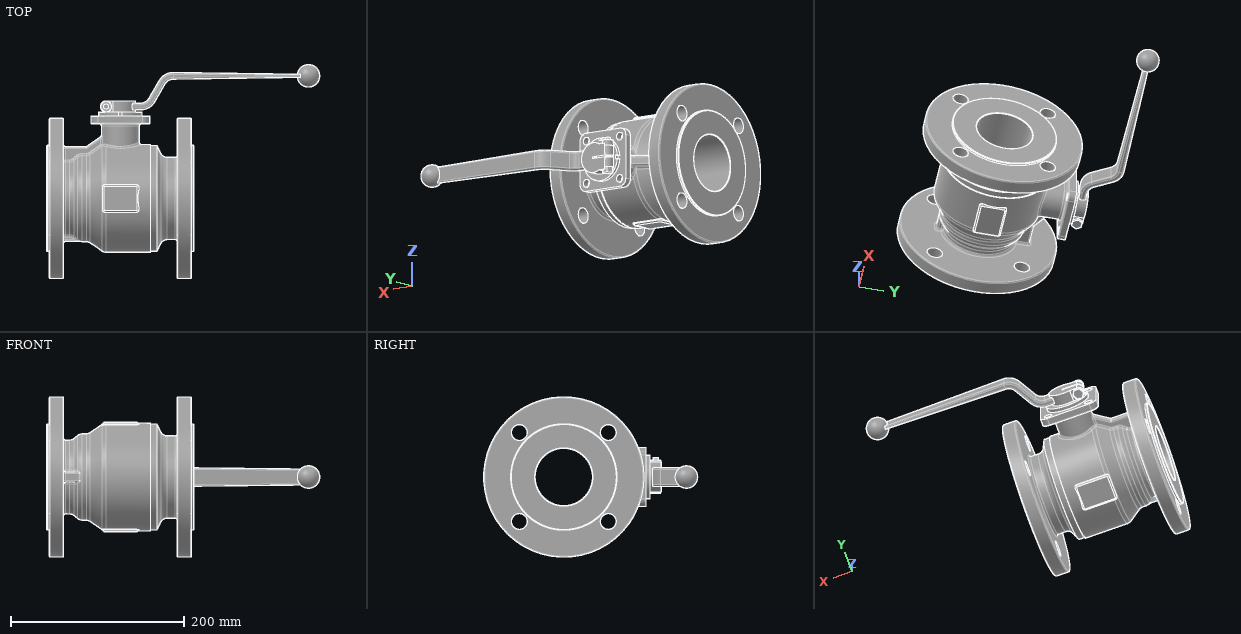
import cadquery as cq
import math


FACE_TO_FACE = 170.0
HALF_LENGTH = FACE_TO_FACE / 2
FLANGE_RADIUS = 92.5
FLANGE_THICKNESS = 16.5
FLANGE_EDGE_FILLET = 1.2
RAISED_FACE_RADIUS = 61.4
RAISED_FACE_HEIGHT = 3.0
RAISED_FACE_CHAMFER = 0.8
BOLT_CIRCLE_RADIUS = 72.5
BOLT_HOLE_DIAMETER = 18.0
BOLT_HOLE_COUNT = 4
FIRST_BOLT_ANGLE = 45
BORE_RADIUS = 33.0
BORE_CHAMFER = 0.6
FLANGE_OUTER_X = HALF_LENGTH - RAISED_FACE_HEIGHT
FLANGE_INNER_X = FLANGE_OUTER_X - FLANGE_THICKNESS

INLET_RADIUS = 42.7
COLLAR_RADIUS = 50.0
BODY_RADIUS = 62.3
END_CAP_RADIUS = 61.2
OUTLET_RADIUS = 47.6
INLET_END_X = -55.5
COLLAR_START_X = -47.0
COLLAR_END_X = -36.8
BODY_START_X = -19.0
BODY_END_X = 34.7
END_CAP_END_X = 42.2
OUTLET_START_X = 48.8
BODY_BLEND = 8.0
FLANGE_ROOT_FILLET = 2.5

RIB_WIDTH = 12.0
RIB_TOP_Y = 59.7
RIB_BEND_X = -39.5
RIB_RISE_ANGLE = 34.5
RIB_FILLET = 2.0
LOWER_RIB_END_X = -41.0
LOWER_RIB_DEPTH = 49.4
RIB_FOOT_FILLET = 2.5

PAD_START_X = -20.6
PAD_LENGTH = 42.0
PAD_WIDTH = 32.0
PAD_HEIGHT_Z = 63.3
PAD_DEPTH = 13.0
PAD_CORNER_RADIUS = 3.0
PAD_EDGE_CHAMFER = 2.0

NECK_RADIUS = 22.0
NECK_BASE_Y = 40.0
NECK_BASE_FILLET = 2.5
NECK_TOP_FILLET = 2.5
PLATE_BOTTOM_Y = 86.0
PLATE_TOP_Y = 95.0
PLATE_SIDE = 68.2
PLATE_CORNER_RADIUS = 8.5
PLATE_EDGE_FILLET = 1.0
PLATE_HOLE_DIAMETER = 9.0
PLATE_HOLE_OFFSET = 24.75

DISC_RADIUS = 25.2
DISC_TOP_Y = 99.4
DISC_NOTCH_WIDTH = 4.0
DISC_NOTCH_DEPTH = 3.0

HUB_RADIUS = 17.5
HUB_TOP_Y = 112.6
CLAMP_X = -16.5
CLAMP_RADIUS = 6.5
BOLT_HEAD_RADIUS = 6.2
CLAMP_HALF_WIDTH = 12.5
EAR_HALF_WIDTH = 15.4
CLAMP_SLIT = 2.0
BOLT_HEAD_END_Z = 19.5
STUD_END_Z = 22.3
NUT_END_Z = -18.8
STUD_RADIUS = 3.0
NUT_SIDES = 6
NUT_ACROSS_CORNERS = 13.0
CLAMP_BOLT_FILLET = 1.0

LEVER_ROOT_X = 12.0
FIRST_BEND_X = 23.3
LEVER_ANGLE = 60.0
LEVER_BEND_RADIUS = 15.0
LEVER_WIDTH = 22.0
LEVER_THICKNESS = 8.0
LEVER_EDGE_FILLET = 2.2
GRIP_END_WIDTH = 18.6
GRIP_END_THICKNESS = 3.6
GRIP_END_FILLET = 1.2
BALL_RADIUS = 13.1
OVERALL_LENGTH = 315.0
OVERALL_DEPTH = 247.0
BALL_X = OVERALL_LENGTH - HALF_LENGTH - BALL_RADIUS
BALL_Y = OVERALL_DEPTH - FLANGE_RADIUS - BALL_RADIUS
CLAMP_Y = (DISC_TOP_Y + HUB_TOP_Y) / 2

SELECTION_MARGIN = 0.1


def cylinder_along_y(x, bottom_y, top_y, radius):
    """Cylinder parallel to Y, standing at x on the plane Z = 0."""
    start = cq.Vector(x, bottom_y, 0)
    return cq.Workplane(obj=cq.Solid.makeCylinder(radius, top_y - bottom_y, start, cq.Vector(0, 1, 0)))


def plane_facing_y(y):
    """Workplane at height y whose local axes are X and -Z, with its normal along +Y."""
    return cq.Workplane(cq.Plane(origin=(0, y, 0), xDir=(1, 0, 0), normal=(0, 1, 0)))


def plane_facing_z(z):
    """Workplane at height z whose local axes are X and Y, with its normal along +Z."""
    return cq.Workplane("XY", origin=(0, 0, z))


def make_body():
    """Turned casing between the flanges, with every cone blended into its neighbours."""
    profile = [
        (-FLANGE_OUTER_X, 0),
        (-FLANGE_OUTER_X, INLET_RADIUS),
        (INLET_END_X, INLET_RADIUS),
        (COLLAR_START_X, COLLAR_RADIUS),
        (COLLAR_END_X, COLLAR_RADIUS),
        (BODY_START_X, BODY_RADIUS),
        (BODY_END_X, BODY_RADIUS),
        (BODY_END_X, END_CAP_RADIUS),
        (END_CAP_END_X, END_CAP_RADIUS),
        (OUTLET_START_X, OUTLET_RADIUS),
        (FLANGE_OUTER_X, OUTLET_RADIUS),
        (FLANGE_OUTER_X, 0),
    ]
    casing = cq.Workplane("XY").polyline(profile).close().revolve(360, (0, 0), (1, 0))
    blended_x = (INLET_END_X, COLLAR_START_X, COLLAR_END_X, BODY_START_X, OUTLET_START_X)
    for x in blended_x:
        corner = cq.selectors.BoxSelector(
            (x - SELECTION_MARGIN, -FLANGE_RADIUS, -FLANGE_RADIUS),
            (x + SELECTION_MARGIN, FLANGE_RADIUS, FLANGE_RADIUS),
        )
        casing = casing.edges("%CIRCLE").edges(corner).fillet(BODY_BLEND)
    return casing


def make_flange(side):
    """Flange with a raised face; side is -1 for the inlet and +1 for the outlet."""
    inner = cq.Workplane("YZ", origin=(side * FLANGE_INNER_X, 0, 0))
    flange = inner.circle(FLANGE_RADIUS).extrude(side * FLANGE_THICKNESS).edges().fillet(FLANGE_EDGE_FILLET)
    outer = cq.Workplane("YZ", origin=(side * FLANGE_OUTER_X, 0, 0))
    raised = outer.circle(RAISED_FACE_RADIUS).extrude(side * RAISED_FACE_HEIGHT)
    raised = raised.faces(">X" if side > 0 else "<X").chamfer(RAISED_FACE_CHAMFER)
    holes = (
        inner.polarArray(BOLT_CIRCLE_RADIUS, FIRST_BOLT_ANGLE, 360, BOLT_HOLE_COUNT)
        .circle(BOLT_HOLE_DIAMETER / 2)
        .extrude(side * FLANGE_THICKNESS)
    )
    return flange.union(raised).cut(holes)


def blend_flange_roots(valve):
    """Round the corner where each pipe end meets its flange."""
    for side, radius in ((-1, INLET_RADIUS), (1, OUTLET_RADIUS)):
        x = side * FLANGE_INNER_X
        root = cq.selectors.BoxSelector(
            (x - SELECTION_MARGIN, -radius, -radius),
            (x + SELECTION_MARGIN, radius, radius),
        )
        valve = valve.edges("%CIRCLE").edges(root).fillet(FLANGE_ROOT_FILLET)
    return valve


def make_upper_rib():
    """Rib on the stem side that climbs from the inlet flange to the neck."""
    rise = -RIB_BEND_X * math.tan(math.radians(RIB_RISE_ANGLE))
    outline = [
        (-FLANGE_OUTER_X, BORE_RADIUS),
        (-FLANGE_OUTER_X, RIB_TOP_Y),
        (RIB_BEND_X, RIB_TOP_Y),
        (0, RIB_TOP_Y + rise),
        (0, BORE_RADIUS),
    ]
    rib = plane_facing_z(-RIB_WIDTH / 2).polyline(outline).close().extrude(RIB_WIDTH)
    return rib.edges("not (|Y or |Z)").fillet(RIB_FILLET)


def make_lower_rib():
    """Rib on the far side that runs out into the collar."""
    length = LOWER_RIB_END_X + FLANGE_OUTER_X
    depth = LOWER_RIB_DEPTH - BORE_RADIUS
    rib = cq.Workplane("XY").box(length, depth, RIB_WIDTH, centered=(False, False, True))
    rib = rib.translate((-FLANGE_OUTER_X, -LOWER_RIB_DEPTH, 0))
    return rib.faces("<Y").edges("|X").fillet(RIB_FILLET)


def rib_foot_edges(start_x, end_x, bottom_y, top_y):
    """Selector for edges lying on the two sides of a rib, with centres inside the given ranges."""
    near_side, far_side = (
        cq.selectors.BoxSelector(
            (start_x, bottom_y, z - SELECTION_MARGIN),
            (end_x, top_y, z + SELECTION_MARGIN),
        )
        for z in (-RIB_WIDTH / 2, RIB_WIDTH / 2)
    )
    return near_side + far_side


def blend_rib_feet(valve):
    """Round the corners where the ribs meet the flange, the body and the neck."""
    flange_x = -FLANGE_INNER_X - SELECTION_MARGIN
    clearance = RIB_FILLET + 5 * SELECTION_MARGIN
    upper_limit = RIB_TOP_Y - clearance
    lower_limit = clearance - LOWER_RIB_DEPTH
    beside_body = rib_foot_edges(flange_x, -NECK_RADIUS, BORE_RADIUS, upper_limit)
    beside_neck = rib_foot_edges(-NECK_RADIUS, BODY_START_X, RIB_TOP_Y, PLATE_BOTTOM_Y)
    beside_lower_rib = rib_foot_edges(flange_x, COLLAR_START_X + BODY_BLEND, lower_limit, -BORE_RADIUS)
    valve = valve.edges(beside_body + beside_neck).fillet(RIB_FOOT_FILLET)
    return valve.edges(beside_lower_rib).fillet(RIB_FOOT_FILLET)


def make_label_pad(side):
    """Flat rectangular pad with bevelled edges; side is +1 for +Z and -1 for -Z."""
    pad = (
        plane_facing_z(PAD_HEIGHT_Z - PAD_DEPTH)
        .center(PAD_START_X + PAD_LENGTH / 2, 0)
        .rect(PAD_LENGTH, PAD_WIDTH)
        .extrude(PAD_DEPTH)
        .edges("|Z")
        .fillet(PAD_CORNER_RADIUS)
        .faces(">Z")
        .chamfer(PAD_EDGE_CHAMFER)
    )
    return pad if side > 0 else pad.mirror("XY")


def blend_neck_base(valve):
    """Round the curve where the neck runs into the body, which has no circular or straight edges."""
    margin = NECK_BASE_FILLET
    curve = cq.selectors.BoxSelector(
        (-NECK_RADIUS - margin, COLLAR_RADIUS, -NECK_RADIUS - margin),
        (NECK_RADIUS + margin, PLATE_BOTTOM_Y - margin, NECK_RADIUS + margin),
    )
    return valve.edges("%BSPLINE").edges(curve).fillet(NECK_BASE_FILLET)


def make_mounting_plate():
    """Square plate on the neck, with a hole in each corner."""
    plate = (
        plane_facing_y(PLATE_BOTTOM_Y)
        .rect(PLATE_SIDE, PLATE_SIDE)
        .extrude(PLATE_TOP_Y - PLATE_BOTTOM_Y)
        .edges("|Y")
        .fillet(PLATE_CORNER_RADIUS)
        .faces("<Y")
        .edges()
        .fillet(PLATE_EDGE_FILLET)
    )
    holes = (
        plane_facing_y(PLATE_BOTTOM_Y)
        .rect(2 * PLATE_HOLE_OFFSET, 2 * PLATE_HOLE_OFFSET, forConstruction=True)
        .vertices()
        .circle(PLATE_HOLE_DIAMETER / 2)
        .extrude(PLATE_TOP_Y - PLATE_BOTTOM_Y)
    )
    return plate.cut(holes)


def make_neck():
    """Stem neck with a fillet under the mounting plate."""
    neck = cylinder_along_y(0, NECK_BASE_Y, PLATE_BOTTOM_Y, NECK_RADIUS).union(make_mounting_plate())
    junction = cq.selectors.NearestToPointSelector((0, PLATE_BOTTOM_Y, 0))
    return neck.edges("%CIRCLE").edges(junction).fillet(NECK_TOP_FILLET)


def make_stop_disc():
    """Stop disc with notches on its +Z and -X rims."""
    height = DISC_TOP_Y - PLATE_TOP_Y
    disc = cylinder_along_y(0, PLATE_TOP_Y, DISC_TOP_Y, DISC_RADIUS)
    notch = cq.Workplane("XY").box(2 * DISC_NOTCH_DEPTH, height, DISC_NOTCH_WIDTH)
    notch = notch.translate((-DISC_RADIUS, PLATE_TOP_Y + height / 2, 0))
    return disc.cut(notch).cut(notch.rotate((0, 0, 0), (0, 1, 0), 90))


def make_hub():
    """Lever hub with a slit clamp and the bolt that closes it."""
    height = HUB_TOP_Y - DISC_TOP_Y
    hub = cylinder_along_y(0, DISC_TOP_Y, HUB_TOP_Y, HUB_RADIUS)
    width = 2 * CLAMP_HALF_WIDTH
    ears = cq.Workplane("XY").box(-CLAMP_X, height, 2 * EAR_HALF_WIDTH, centered=(False, True, True))
    ears = ears.translate((CLAMP_X, CLAMP_Y, 0))
    barrel = plane_facing_z(-CLAMP_HALF_WIDTH).center(CLAMP_X, CLAMP_Y).circle(CLAMP_RADIUS).extrude(width)
    slit = cq.Workplane("XY").box(2 * HUB_RADIUS, height, CLAMP_SLIT, centered=(False, True, True))
    slit = slit.translate((CLAMP_X - HUB_RADIUS, CLAMP_Y, 0))
    return hub.union(ears).union(barrel).cut(slit).union(make_clamp_bolt())


def make_clamp_bolt():
    """Bolt along Z: round head with a stud end at +Z and a hexagon nut at -Z."""
    centre = (CLAMP_X, CLAMP_Y)
    head = (
        plane_facing_z(CLAMP_HALF_WIDTH)
        .center(*centre)
        .circle(BOLT_HEAD_RADIUS)
        .extrude(BOLT_HEAD_END_Z - CLAMP_HALF_WIDTH)
        .faces(">Z")
        .edges()
        .fillet(CLAMP_BOLT_FILLET)
    )
    stud = plane_facing_z(-CLAMP_HALF_WIDTH).center(*centre).circle(STUD_RADIUS)
    stud = stud.extrude(STUD_END_Z + CLAMP_HALF_WIDTH)
    nut = plane_facing_z(-CLAMP_HALF_WIDTH).center(*centre).polygon(NUT_SIDES, NUT_ACROSS_CORNERS)
    nut = nut.extrude(NUT_END_Z + CLAMP_HALF_WIDTH)
    return head.union(stud).union(nut)


def make_lever():
    """Flat bar bent twice, tapering along the grip to a ball."""
    angle = math.radians(LEVER_ANGLE)
    run = LEVER_BEND_RADIUS * math.sin(angle)
    rise = LEVER_BEND_RADIUS * (1 - math.cos(angle))
    slope_rise = BALL_Y - CLAMP_Y - 2 * rise
    slope_run = slope_rise / math.tan(angle)
    slope_start = (FIRST_BEND_X + run, CLAMP_Y + rise)
    slope_end = (slope_start[0] + slope_run, slope_start[1] + slope_rise)
    grip_start = (slope_end[0] + run, BALL_Y)
    path = (
        cq.Workplane("XY")
        .moveTo(LEVER_ROOT_X, CLAMP_Y)
        .lineTo(FIRST_BEND_X, CLAMP_Y)
        .tangentArcPoint(slope_start, relative=False)
        .lineTo(*slope_end)
        .tangentArcPoint(grip_start, relative=False)
    )
    section = cq.Sketch().rect(LEVER_THICKNESS, LEVER_WIDTH).vertices().fillet(LEVER_EDGE_FILLET)
    end_section = cq.Sketch().rect(GRIP_END_THICKNESS, GRIP_END_WIDTH).vertices().fillet(GRIP_END_FILLET)
    bend = cq.Workplane("YZ", origin=(LEVER_ROOT_X, CLAMP_Y, 0)).placeSketch(section).sweep(path)
    grip_length = BALL_X - grip_start[0]
    grip = (
        cq.Workplane("YZ", origin=(grip_start[0], BALL_Y, 0))
        .placeSketch(section, end_section.moved(cq.Location(cq.Vector(0, 0, grip_length))))
        .loft()
    )
    ball = cq.Workplane("XY").sphere(BALL_RADIUS).translate((BALL_X, BALL_Y, 0))
    return bend.union(grip).union(ball)


def make_bore():
    """Straight bore with chamfered mouths."""
    mouth = BORE_RADIUS + BORE_CHAMFER
    outline = [
        (-HALF_LENGTH, 0),
        (-HALF_LENGTH, mouth),
        (BORE_CHAMFER - HALF_LENGTH, BORE_RADIUS),
        (HALF_LENGTH - BORE_CHAMFER, BORE_RADIUS),
        (HALF_LENGTH, mouth),
        (HALF_LENGTH, 0),
    ]
    return cq.Workplane("XY").polyline(outline).close().revolve(360, (0, 0), (1, 0))


valve = blend_neck_base(make_body().union(make_neck()))
for end in (-1, 1):
    valve = valve.union(make_flange(end))
valve = blend_flange_roots(valve)
valve = valve.union(make_upper_rib()).union(make_lower_rib())
valve = blend_rib_feet(valve)
for side in (-1, 1):
    valve = valve.union(make_label_pad(side))
valve = valve.union(make_stop_disc()).union(make_hub()).union(make_lever())
result = valve.cut(make_bore())